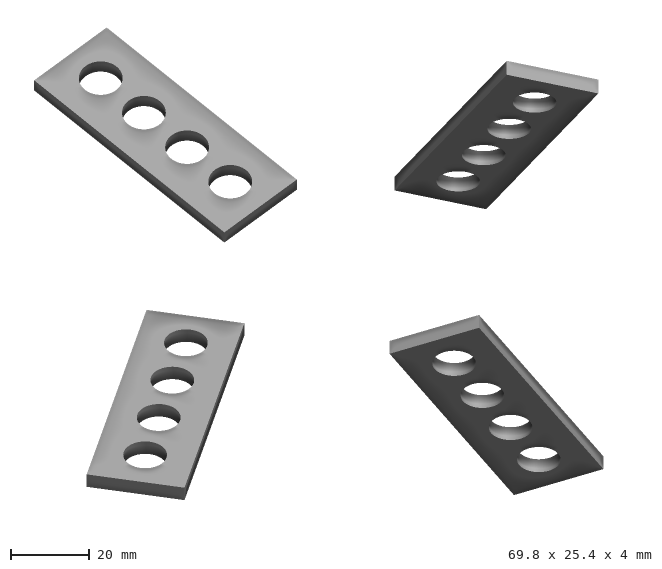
import cadquery as cq

length = 69.85
width = 25.4
thickness = 4.0

hole_count = 4
hole_diameter = 11.1
hole_pitch = 15.85

plate = cq.Workplane("XY").box(length, width, thickness)

result = (
    plate.faces(">Z")
    .workplane()
    .rarray(hole_pitch, 0.7, hole_count, 1)
    .hole(hole_diameter)
)